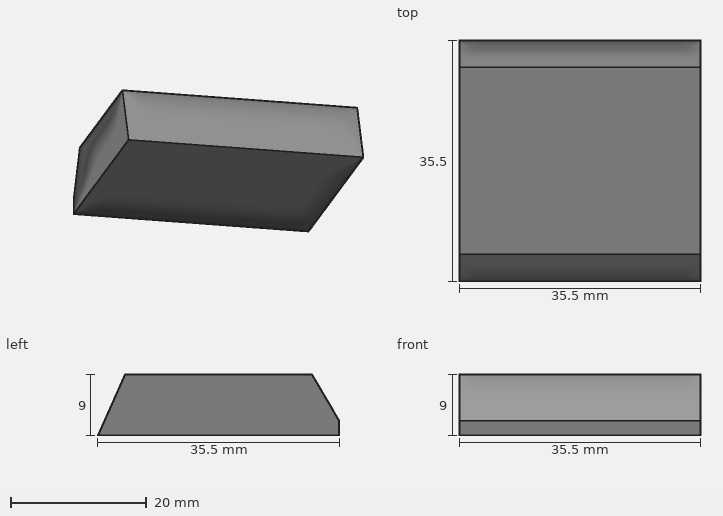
import cadquery as cq

LENGTH = 35.5
WIDTH = 35.5
HEIGHT = 9.0
EDGE_INSET = 4.0
LIP_HEIGHT = 2.2

front_y = -WIDTH / 2
back_y = WIDTH / 2


def make_block():
    """Constant YZ profile extruded along X, centred on X and Y, base at Z = 0."""
    profile = [
        (front_y, 0),
        (back_y, 0),
        (back_y - EDGE_INSET, HEIGHT),
        (front_y + EDGE_INSET, HEIGHT),
        (front_y, LIP_HEIGHT),
    ]
    return cq.Workplane("YZ").polyline(profile).close().extrude(LENGTH / 2, both=True)


result = make_block()